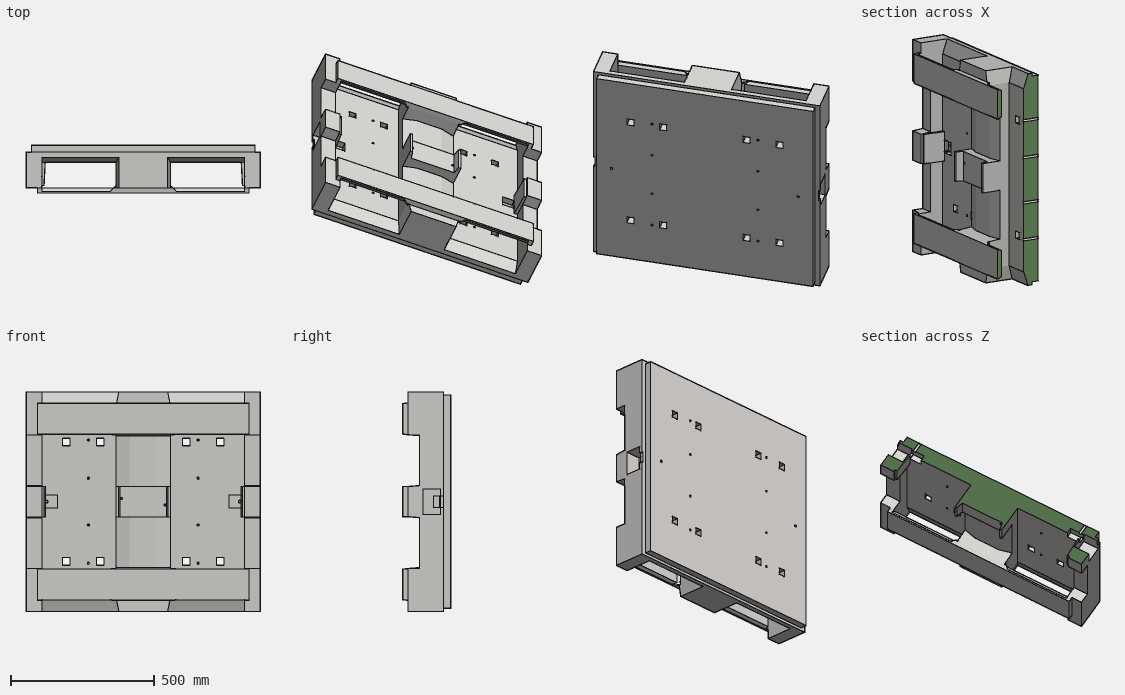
import cadquery as cq

LENGTH = 819.0
WIDTH = 768.0
HEIGHT = 168.0

DECK_LENGTH = 783.0
DECK_WIDTH = 747.0
DECK_TOP = 24.5
BODY_TOP = 150.0
STEP_TOP = BODY_TOP - 8.0
WALL_TOP = 110.0
WALL = 55.0
INNER_X = LENGTH / 2 - WALL
END_Z = WIDTH / 2
POST_INNER_Z = 233.5

FLOOR = 61.0
FLARE_FLOOR = 43.0
FLARE_LENGTH = 52.5
SPINE_X = 96.0
SPINE_END_X = 85.0
SPINE_FLAT_X = 47.5
SPINE_EDGE_TOP = 98.0
SPINE_BLOCK_INNER_Z = 229.0

SKID_HALF_LENGTH = 370.0
SKID_OUTER_Z = 343.0
SKID_INNER_Z = 236.0
SKID_EDGE_HEIGHT = 162.0
SKID_CHAMFER_LENGTH = 6.5
SKID_DRAFT = 2.5

BLOCK_HALF_WIDTH = 53.0
BLOCK_ROOT_HALF_WIDTH = 56.5
LIP_X = 342.0
LIP_TOP_X = 346.5
BRIDGE_FACE_X = 81.0
FLANGE_INNER_X = 87.0

POCKET_BOTTOM = 36.0
POCKET_TOP = 97.5
POCKET_HALF_WIDTH = 44.0
POCKET_END_X = 351.0
NOTCH_HALF_WIDTH = 20.0
NOTCH_DEPTH = 5.0
RECESS_END_X = 299.0
RECESS_HALF_WIDTH = 23.0
RECESS_FLOOR = 39.0
RECESS_HOLE_X = 337.5
RECESS_HOLE_DIAMETER = 8.0

SQUARE = 25.0
SQUARE_XS = (151.0, 269.5)
SQUARE_Z = 209.0
PIN_X = 192.0
PIN_ZS = (82.0, 215.5)
PIN_DIAMETER = 6.5
BRIDGE_HOLE_X = 76.0
BRIDGE_HOLE_Z = 11.5
BRIDGE_HOLE_DEPTH = 16.0

SIDES = (-1, 1)


def block(x0, x1, z0, z1, low, high):
    """Box between two X places, two Z places and two heights."""
    return cq.Workplane("XY").box(
        abs(x1 - x0), high - low, abs(z1 - z0)
    ).translate(((x0 + x1) / 2, -(low + high) / 2, (z0 + z1) / 2))


def across_x(points, x0, x1):
    """Prism along X from (height, Z) points."""
    outline = [(-height, z) for height, z in points]
    return cq.Workplane("YZ", origin=(x0, 0, 0)).polyline(outline).close().extrude(x1 - x0)


def along_z(points, z0, z1):
    """Prism along Z from (X, height) points."""
    outline = [(x, -height) for x, height in points]
    return cq.Workplane("XY", origin=(0, 0, z0)).polyline(outline).close().extrude(z1 - z0)


def along_y(points, low, high):
    """Prism between two heights from (X, Z) points."""
    return cq.Workplane("XZ", origin=(0, -low, 0)).polyline(points).close().extrude(high - low)


def mirrored(shape, plane):
    return shape.union(shape.mirror(plane))


def base():
    """Deck plate, body floor with flared ends, and the two side walls."""
    deck = block(-DECK_LENGTH / 2, DECK_LENGTH / 2, -DECK_WIDTH / 2, DECK_WIDTH / 2, 0, DECK_TOP)
    flare_z = END_Z - FLARE_LENGTH
    floor = across_x(
        [
            (DECK_TOP, -END_Z), (FLARE_FLOOR, -END_Z), (FLOOR, -flare_z),
            (FLOOR, flare_z), (FLARE_FLOOR, END_Z), (DECK_TOP, END_Z),
        ],
        -LENGTH / 2, LENGTH / 2,
    )
    shape = deck.union(floor)
    for side in SIDES:
        shape = shape.union(block(side * INNER_X, side * LENGTH / 2, -END_Z, END_Z, DECK_TOP, WALL_TOP))
        for end in SIDES:
            shape = shape.union(
                block(side * INNER_X, side * LENGTH / 2, end * POST_INNER_Z, end * END_Z, DECK_TOP, BODY_TOP)
            )
    return shape


def spine():
    """Central ridge with a raised flat, and a tapered full-height block at each end."""
    ridge = along_z(
        [
            (-SPINE_X, DECK_TOP), (-SPINE_X, SPINE_EDGE_TOP), (-SPINE_FLAT_X, WALL_TOP),
            (SPINE_FLAT_X, WALL_TOP), (SPINE_X, SPINE_EDGE_TOP), (SPINE_X, DECK_TOP),
        ],
        -POST_INNER_Z, POST_INNER_Z,
    )
    flare_z = END_Z - FLARE_LENGTH
    end_plan = along_y(
        [
            (-SPINE_X, 0), (-SPINE_X, flare_z), (-SPINE_END_X, END_Z),
            (SPINE_END_X, END_Z), (SPINE_X, flare_z), (SPINE_X, 0),
        ],
        DECK_TOP, BODY_TOP,
    )
    end_side = across_x(
        [
            (DECK_TOP, SPINE_BLOCK_INNER_Z), (SPINE_EDGE_TOP, SPINE_BLOCK_INNER_Z),
            (BODY_TOP, POST_INNER_Z), (BODY_TOP, END_Z), (DECK_TOP, END_Z),
        ],
        -SPINE_X, SPINE_X,
    )
    end_block = end_plan.intersect(end_side)
    return ridge.union(mirrored(end_block, "XY"))


def skids():
    """Two bars with drafted Z faces, chamfered along both inner edges over each channel."""
    bar = across_x(
        [
            (BODY_TOP, SKID_INNER_Z - SKID_DRAFT), (HEIGHT, SKID_INNER_Z),
            (HEIGHT, SKID_OUTER_Z), (BODY_TOP, SKID_OUTER_Z + SKID_DRAFT),
        ],
        -SKID_HALF_LENGTH, SKID_HALF_LENGTH,
    )
    web_rise = BODY_TOP - STEP_TOP
    channel = along_z(
        [
            (SPINE_X + web_rise, BODY_TOP), (INNER_X, BODY_TOP), (INNER_X, SKID_EDGE_HEIGHT),
            (SPINE_X + SKID_EDGE_HEIGHT - STEP_TOP, SKID_EDGE_HEIGHT),
        ],
        0, END_Z,
    )
    for edge, inward in ((SKID_OUTER_Z, -1), (SKID_INNER_Z, 1)):
        base_edge = edge - inward * SKID_DRAFT
        wedge = across_x(
            [
                (BODY_TOP, base_edge), (SKID_EDGE_HEIGHT, base_edge), (SKID_EDGE_HEIGHT, edge),
                (BODY_TOP, edge + inward * SKID_CHAMFER_LENGTH),
            ],
            0, LENGTH / 2,
        )
        bar = bar.cut(mirrored(wedge.intersect(channel), "YZ"))
    web = along_z(
        [(SPINE_X, STEP_TOP), (SPINE_X + web_rise, BODY_TOP), (SPINE_X, BODY_TOP)],
        SKID_INNER_Z, SKID_OUTER_Z,
    )
    return mirrored(bar.union(mirrored(web, "YZ")), "XY")


def side_block():
    """Block on the side wall with drafted Z faces, and a thinner lip facing the channel."""
    body = across_x(
        [
            (WALL_TOP, -BLOCK_ROOT_HALF_WIDTH), (BODY_TOP, -BLOCK_HALF_WIDTH),
            (BODY_TOP, BLOCK_HALF_WIDTH), (WALL_TOP, BLOCK_ROOT_HALF_WIDTH),
        ],
        INNER_X, LENGTH / 2,
    )
    lip = along_z(
        [(INNER_X, DECK_TOP), (INNER_X, STEP_TOP), (LIP_TOP_X, STEP_TOP), (LIP_X, FLOOR), (LIP_X, DECK_TOP)],
        -BLOCK_HALF_WIDTH, BLOCK_HALF_WIDTH,
    )
    return body.union(lip)


def bridge():
    """Crosspiece on the spine with a tapered flange along each side."""
    return along_z(
        [
            (-SPINE_X, DECK_TOP), (-SPINE_X, HEIGHT),
            (-FLANGE_INNER_X, HEIGHT), (-BRIDGE_FACE_X, STEP_TOP), (BRIDGE_FACE_X, STEP_TOP),
            (FLANGE_INNER_X, HEIGHT), (SPINE_X, HEIGHT), (SPINE_X, DECK_TOP),
        ],
        -BLOCK_HALF_WIDTH, BLOCK_HALF_WIDTH,
    )


def hole(x, z, diameter, low, high):
    return cq.Workplane("XZ", origin=(x, -low, z)).circle(diameter / 2).extrude(high - low)


def side_pocket():
    """Blind pocket in the side wall, opening through a slot into the floor recess."""
    pocket = block(
        POCKET_END_X, LENGTH / 2, -POCKET_HALF_WIDTH, POCKET_HALF_WIDTH, POCKET_BOTTOM, POCKET_TOP
    )
    notch = block(
        LENGTH / 2 - NOTCH_DEPTH, LENGTH / 2, -NOTCH_HALF_WIDTH, NOTCH_HALF_WIDTH, DECK_TOP, FLOOR
    )
    slot = block(LIP_X, POCKET_END_X, -NOTCH_HALF_WIDTH, NOTCH_HALF_WIDTH, RECESS_FLOOR, FLOOR)
    recess = block(RECESS_END_X, LIP_X, -RECESS_HALF_WIDTH, RECESS_HALF_WIDTH, RECESS_FLOOR, FLOOR)
    drain = hole(RECESS_HOLE_X, 0, RECESS_HOLE_DIAMETER, 0, FLOOR)
    return pocket.union(notch).union(slot).union(recess).union(drain)


def deck_holes():
    """Square openings and round pin holes through the channel floors."""
    holes = cq.Workplane("XY")
    for side in SIDES:
        for end in SIDES:
            for x in SQUARE_XS:
                centre_x = side * x
                centre_z = end * SQUARE_Z
                holes = holes.union(
                    block(
                        centre_x - SQUARE / 2, centre_x + SQUARE / 2,
                        centre_z - SQUARE / 2, centre_z + SQUARE / 2, 0, FLOOR,
                    )
                )
            for z in PIN_ZS:
                holes = holes.union(hole(side * PIN_X, end * z, PIN_DIAMETER, 0, FLOOR))
    return holes


def bridge_holes():
    """Two blind holes at opposite corners of the bridge face."""
    holes = cq.Workplane("XY")
    for side in SIDES:
        holes = holes.union(
            hole(
                side * BRIDGE_HOLE_X, -side * BRIDGE_HOLE_Z, PIN_DIAMETER,
                STEP_TOP - BRIDGE_HOLE_DEPTH, STEP_TOP,
            )
        )
    return holes


result = base().union(spine()).union(skids()).union(mirrored(side_block(), "YZ")).union(bridge())
result = result.cut(mirrored(side_pocket(), "YZ")).cut(deck_holes()).cut(bridge_holes())